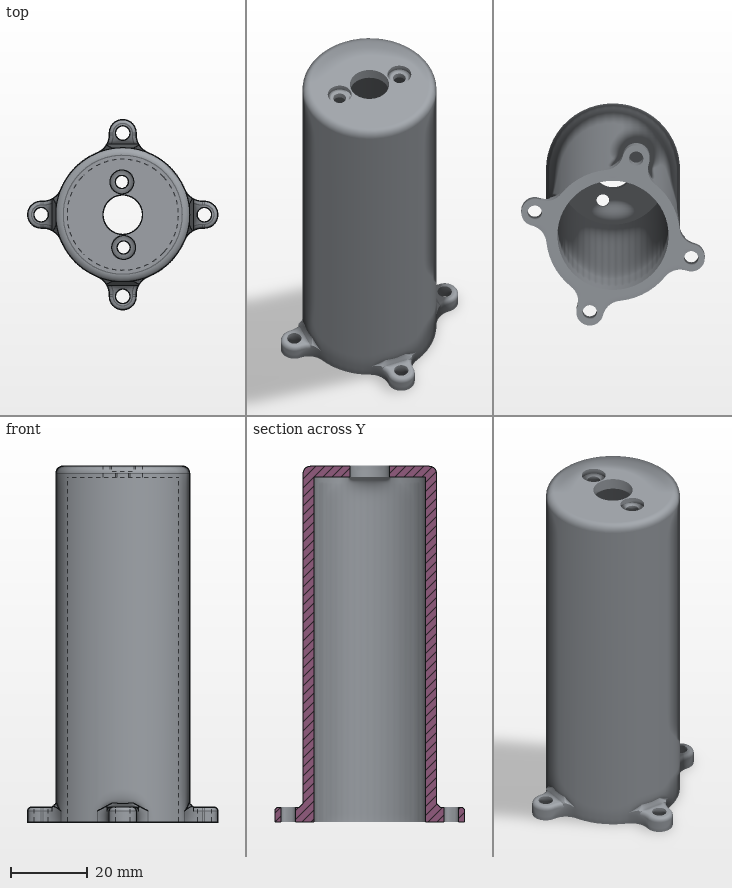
import cadquery as cq
import math

height = 93.0
body_radius = 17.5
wall = 3.0
rim_fillet = 1.95

pilot_diameter = 10.2
screw_circle_radius = 8.6
screw_diameter = 3.35
counterbore_diameter = 6.2
counterbore_depth = 1.5
screw_angles = (91.5, 271.5)

lug_count = 4
lug_reach = 24.8
lug_radius = 3.5
lug_height = 4.0
lug_hole_diameter = 3.7
lug_blend_radius = 5.0
lug_edge_fillet = 1.0
lug_centre = lug_reach - lug_radius
lug_root = body_radius - wall / 2

ramp_run = 1.0
ramp_rise = 1.0
ramp_top_width = 5.6
ramp_reach = 0.9
ramp_foot = body_radius + ramp_reach
ramp_top = lug_height + ramp_rise

blend_y = lug_radius + lug_blend_radius
blend_distance = body_radius + lug_blend_radius
blend_x = math.sqrt(blend_distance**2 - blend_y**2)
contact_x = blend_x * body_radius / blend_distance
contact_y = blend_y * body_radius / blend_distance
middle_angle = (math.atan2(-blend_y, -blend_x) - math.pi / 2) / 2
middle_x = blend_x + lug_blend_radius * math.cos(middle_angle)
middle_y = blend_y + lug_blend_radius * math.sin(middle_angle)
root_x = lug_root * contact_x / body_radius
root_y = lug_root * contact_y / body_radius


def make_body():
    """Solid cylinder with a rounded upper rim."""
    cylinder = cq.Workplane("XY").circle(body_radius).extrude(height)
    return cylinder.faces(">Z").edges().fillet(rim_fillet)


def make_lug_blank():
    """Flat-sided block on +X whose sides sweep tangentially into the cylinder."""
    return (
        cq.Workplane("XY")
        .moveTo(root_x, -root_y)
        .lineTo(contact_x, -contact_y)
        .threePointArc((middle_x, -middle_y), (blend_x, -lug_radius))
        .lineTo(lug_centre, -lug_radius)
        .threePointArc((lug_reach, 0), (lug_centre, lug_radius))
        .lineTo(blend_x, lug_radius)
        .threePointArc((middle_x, middle_y), (contact_x, contact_y))
        .lineTo(root_x, root_y)
        .close()
        .extrude(ramp_top)
    )


def make_lug():
    """Lug with a rounded upper edge and a sloping ramp against the cylinder."""
    blank = make_lug_blank()
    lug = blank.intersect(cq.Workplane("XY").circle(2 * lug_reach).extrude(lug_height))
    rounded_edges = cq.selectors.BoxSelector(
        (root_x + ramp_run / 2, -lug_reach, lug_height / 2),
        (lug_reach * 2, lug_reach, lug_height * 2),
    )
    lug = lug.faces(">Z").edges(rounded_edges).fillet(lug_edge_fillet)

    slope = (
        cq.Workplane("XZ")
        .moveTo(lug_root, 0)
        .lineTo(lug_root, ramp_top)
        .lineTo(ramp_foot - ramp_run, ramp_top)
        .lineTo(ramp_foot, lug_height)
        .lineTo(ramp_foot, 0)
        .close()
        .extrude(lug_reach, both=True)
    )
    flank_foot = lug_height - lug_edge_fillet
    flanks = (
        cq.Workplane("YZ")
        .moveTo(-contact_y, 0)
        .lineTo(-contact_y, flank_foot)
        .lineTo(-ramp_top_width / 2, ramp_top)
        .lineTo(ramp_top_width / 2, ramp_top)
        .lineTo(contact_y, flank_foot)
        .lineTo(contact_y, 0)
        .close()
        .extrude(lug_reach)
    )
    return lug.union(blank.intersect(slope).intersect(flanks))


def cut_end_plate_holes(body):
    """Central pilot hole and a pair of counterbored screw holes."""
    body = body.cut(cq.Workplane("XY").circle(pilot_diameter / 2).extrude(height))
    screw_points = [
        (
            screw_circle_radius * math.cos(math.radians(angle)),
            screw_circle_radius * math.sin(math.radians(angle)),
        )
        for angle in screw_angles
    ]
    return (
        body.faces(">Z")
        .workplane(origin=(0, 0, height))
        .pushPoints(screw_points)
        .cboreHole(screw_diameter, counterbore_diameter, counterbore_depth, depth=2 * wall)
    )


body = make_body()
lug = make_lug()
for index in range(lug_count):
    body = body.union(lug.rotate((0, 0, 0), (0, 0, 1), index * 360 / lug_count))

cavity = cq.Workplane("XY").circle(body_radius - wall).extrude(height - wall)
lug_holes = (
    cq.Workplane("XY")
    .polarArray(lug_centre, 0, 360, lug_count)
    .circle(lug_hole_diameter / 2)
    .extrude(ramp_top)
)
result = cut_end_plate_holes(body.cut(cavity)).cut(lug_holes)